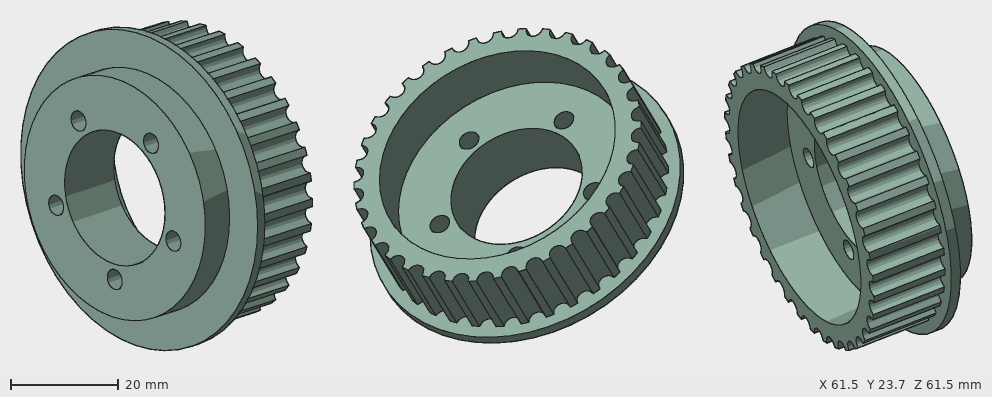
import cadquery as cq
import math


total_length = 23.7
hub_length = 6.5
flange_thickness = 1.95
recess_depth = 10.5
rim_length = total_length - hub_length - flange_thickness

flange_diameter = 61.5
hub_diameter = 47.0
bore_diameter = 26.0
recess_diameter = 46.75
tip_diameter = 56.8

tooth_count = 36
root_diameter = 53.25
groove_radius = 1.6
wall_flare = math.radians(15)

bolt_count = 5
bolt_hole_diameter = 3.9
bolt_circle_radius = 16.0
first_bolt_angle = -90.0


def disc(diameter, start, length):
    """Solid disc centred on the Y axis, from y = start to y = start + length."""
    return cq.Workplane("XZ", origin=(0, start, 0)).circle(diameter / 2).extrude(-length)


def rotated(point, angle):
    """Turn an XZ point about the pulley axis."""
    x, z = point
    return (
        x * math.cos(angle) - z * math.sin(angle),
        x * math.sin(angle) + z * math.cos(angle),
    )


def toothed_rim(start):
    """Rim with round-bottomed grooves whose straight walls flare out to the tooth tips."""
    tip_radius = tip_diameter / 2
    root_radius = root_diameter / 2
    arc_centre = root_radius + groove_radius

    root = (0, root_radius)
    tip = (0, tip_radius)
    arc_mid_angle = (math.pi / 2 - wall_flare) / 2
    arc_mid = (
        groove_radius * math.sin(arc_mid_angle),
        arc_centre - groove_radius * math.cos(arc_mid_angle),
    )
    wall_x = groove_radius * math.cos(wall_flare)
    wall_z = arc_centre - groove_radius * math.sin(wall_flare)

    outward = wall_x * math.sin(wall_flare) + wall_z * math.cos(wall_flare)
    wall_length = math.sqrt(outward**2 + tip_radius**2 - wall_x**2 - wall_z**2) - outward
    corner_x = wall_x + wall_length * math.sin(wall_flare)
    corner_z = wall_z + wall_length * math.cos(wall_flare)

    pitch = 2 * math.pi / tooth_count
    outline = cq.Workplane("XZ", origin=(0, start, 0))
    outline = outline.moveTo(*rotated((-corner_x, corner_z), pitch / 2))
    for index in range(tooth_count):
        groove = pitch / 2 - index * pitch
        next_groove = groove - pitch
        outline = (
            outline.lineTo(*rotated((-wall_x, wall_z), groove))
            .threePointArc(rotated((-arc_mid[0], arc_mid[1]), groove), rotated(root, groove))
            .threePointArc(rotated(arc_mid, groove), rotated((wall_x, wall_z), groove))
            .lineTo(*rotated((corner_x, corner_z), groove))
            .threePointArc(
                rotated(tip, groove - pitch / 2),
                rotated((-corner_x, corner_z), next_groove),
            )
        )
    return outline.close().extrude(-rim_length)


def bolt_holes():
    """Ring of cutting cylinders through the web between the hub face and the recess."""
    return (
        cq.Workplane("XZ")
        .polarArray(bolt_circle_radius, first_bolt_angle, 360, bolt_count)
        .circle(bolt_hole_diameter / 2)
        .extrude(-total_length)
    )


hub = disc(hub_diameter, 0, hub_length)
flange = disc(flange_diameter, hub_length, flange_thickness)
rim = toothed_rim(hub_length + flange_thickness)
bore = disc(bore_diameter, 0, total_length)
recess = disc(recess_diameter, total_length - recess_depth, recess_depth)

result = hub.union(flange).union(rim).cut(bore).cut(recess).cut(bolt_holes())